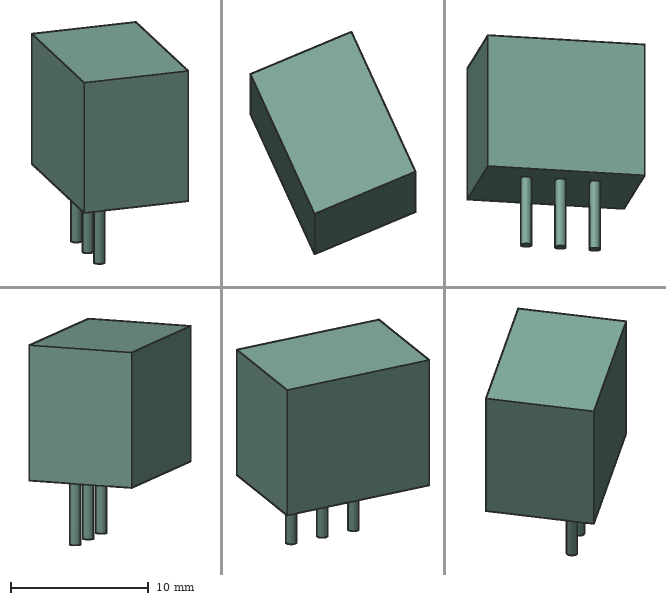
import cadquery as cq

housing_length = 11.6
housing_width = 8.0
overall_height = 15.1
housing_height = 10.0

pin_count = 3
pin_diameter = 0.8
pin_pitch = 2.54
pin_row_y = -1.7
pin_length = overall_height - housing_height


def make_housing():
    """Plain block standing on the plane Z = 0."""
    return cq.Workplane("XY").box(
        housing_length, housing_width, housing_height, centered=(True, True, False)
    )


def make_pin(x):
    """Round pin hanging down from the underside of the housing."""
    return cq.Workplane("XY").center(x, pin_row_y).circle(pin_diameter / 2).extrude(-pin_length)


housing = make_housing()

pins = []
for index in range(pin_count):
    pin_x = (index - (pin_count - 1) / 2) * pin_pitch
    pins.append(make_pin(pin_x).val())

result = cq.Compound.makeCompound([housing.val(), *pins])